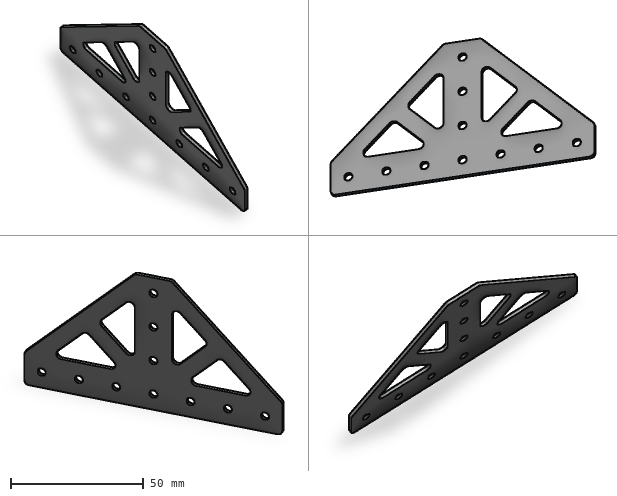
import cadquery as cq
import math


thickness = 1.5
hole_pitch = 15.0
hole_diameter = 3.25
pitches_per_arm = 3
edge_margin = 7.0
half_top_width = 7.31
outer_corner_radius = 2.0
window_corner_radius = 2.0
window_offset = 7.5
web_width = 7.0

arm_length = pitches_per_arm * hole_pitch
half_width = arm_length + edge_margin
top = arm_length + edge_margin
bottom = -edge_margin

outer_intercept = top + half_top_width
window_intercept = outer_intercept - web_width * math.sqrt(2)
strut_intercept = web_width / math.sqrt(2)


def extrude_outline(points, corner_radius):
    """Prism through the plate thickness, centred on Y, with rounded corners."""
    prism = cq.Workplane("XZ").polyline(points).close().extrude(thickness / 2, both=True)
    return prism.edges("|Y").fillet(corner_radius)


def make_plate():
    """House-shaped blank with a flat top and 45 degree shoulders."""
    shoulder = outer_intercept - half_width
    outline = [
        (-half_width, bottom),
        (half_width, bottom),
        (half_width, shoulder),
        (half_top_width, top),
        (-half_top_width, top),
        (-half_width, shoulder),
    ]
    return extrude_outline(outline, outer_corner_radius)


def make_left_windows():
    """Two right-angled triangular openings, one on each side of the left strut."""
    far_corner = window_intercept - window_offset
    near_corner = window_offset + strut_intercept
    apex_near = (window_intercept - strut_intercept) / 2
    apex_far = (window_intercept + strut_intercept) / 2
    lower = [
        (-far_corner, window_offset),
        (-near_corner, window_offset),
        (-apex_far, apex_near),
    ]
    upper = [(-z, -x) for x, z in lower]
    lower_window = extrude_outline(lower, window_corner_radius)
    upper_window = extrude_outline(upper, window_corner_radius)
    return lower_window.union(upper_window)


def make_holes():
    """Horizontal row along both arms and vertical row up the stem."""
    row = [(i * hole_pitch, 0) for i in range(-pitches_per_arm, pitches_per_arm + 1)]
    stem = [(0, i * hole_pitch) for i in range(1, pitches_per_arm + 1)]
    holes = cq.Workplane("XZ").pushPoints(row + stem).circle(hole_diameter / 2)
    return holes.extrude(thickness / 2, both=True)


left_windows = make_left_windows()
right_windows = left_windows.mirror("YZ")
result = make_plate().cut(left_windows).cut(right_windows).cut(make_holes())